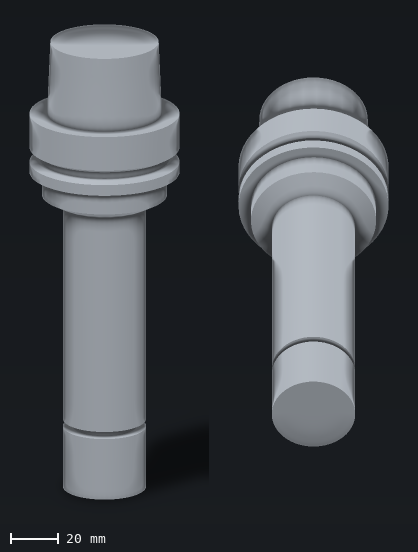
import cadquery as cq

total_length = 197.0
flange_diameter = 63.0
groove_diameter = 55.0
groove_step_diameter = 58.0
collar_diameter = 52.6
shaft_diameter = 35.0
neck_diameter = 27.0
taper_base_diameter = 48.3
taper_top_diameter = 45.5

taper_length = 31.7
flange_length = 15.0
groove_slope_height = 1.48
groove_floor_width = 3.3
rim_length = 4.7
collar_length = 10.0
cone_length = 4.7

head_length = 26.8
neck_length = 3.2

end_piece_height = head_length + neck_length
flange_top = total_length - taper_length
flange_bottom = flange_top - flange_length
groove_top = flange_bottom - groove_slope_height
groove_bottom = groove_top - groove_floor_width
rim_top = groove_bottom - groove_slope_height
rim_bottom = rim_top - rim_length
collar_bottom = rim_bottom - collar_length
cone_bottom = collar_bottom - cone_length


def revolve_steps(steps):
    """Revolve a solid about Z from (diameter, height) pairs."""
    lowest = steps[-1][1]
    highest = steps[0][1]
    outline = [(diameter / 2, height) for diameter, height in steps]
    return (
        cq.Workplane("XZ")
        .polyline([(0, highest), *outline, (0, lowest)])
        .close()
        .revolve(360, (0, 0, 0), (0, 1, 0))
    )


def make_holder():
    """Tapered tool holder with a grooved flange, a collar and a long shaft."""
    return revolve_steps([
        (taper_top_diameter, total_length),
        (taper_base_diameter, flange_top),
        (flange_diameter, flange_top),
        (flange_diameter, flange_bottom),
        (groove_step_diameter, groove_top),
        (groove_diameter, groove_top),
        (groove_diameter, groove_bottom),
        (groove_step_diameter, groove_bottom),
        (flange_diameter, rim_top),
        (flange_diameter, rim_bottom),
        (collar_diameter, rim_bottom),
        (collar_diameter, collar_bottom),
        (shaft_diameter, cone_bottom),
        (shaft_diameter, end_piece_height),
    ])


def make_end_piece():
    """Cylindrical head whose narrower neck meets the end of the shaft."""
    return revolve_steps([
        (neck_diameter, end_piece_height),
        (neck_diameter, head_length),
        (shaft_diameter, head_length),
        (shaft_diameter, 0),
    ])


holder = make_holder()
end_piece = make_end_piece()
result = cq.Compound.makeCompound([holder.val(), end_piece.val()])